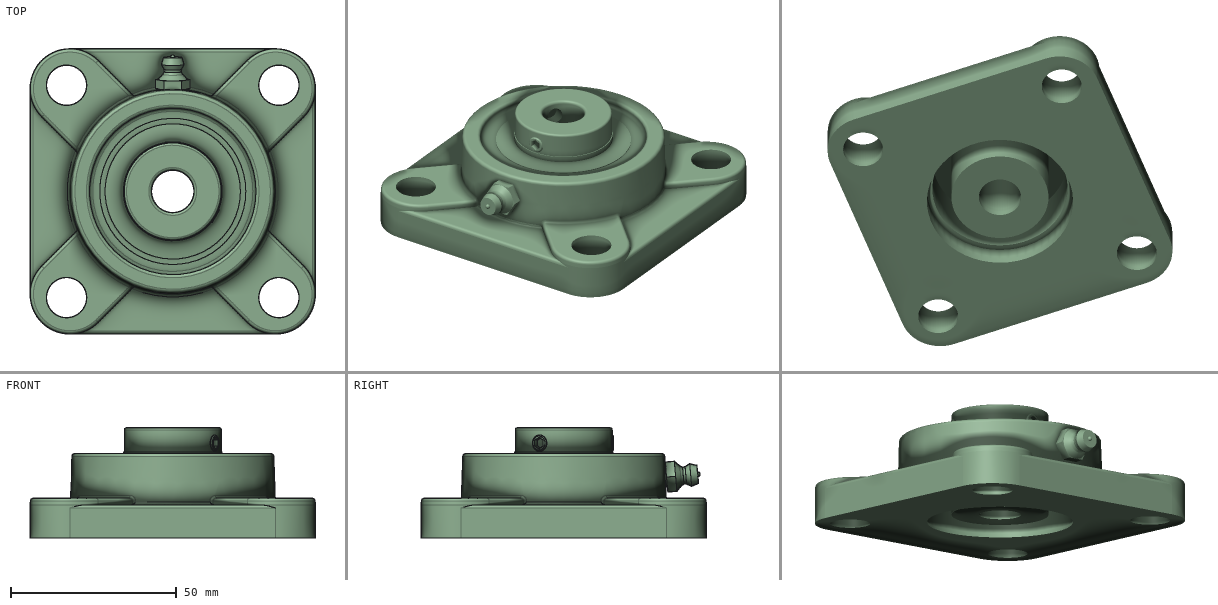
import cadquery as cq
import math

flange_side = 86.0
corner_radius = 12.0
plate_top = 10.1
plate_edge_fillet = 0.95
corner_offset = flange_side / 2 - corner_radius

pad_top = 12.0
pad_edge_fillet = 0.95
pad_draft = 4.0
pad_length = corner_offset * math.sqrt(2)
pad_angles = (45, 135, 225, 315)
bolt_hole_diameter = 12.0
bolt_hole_offset = 32.0

boss_top = 25.5
boss_base_radius = 31.0
boss_top_radius = 30.45
boss_edge_fillet = 1.0
boss_base_fillet = 0.9

mouth_diameter = 50.1
mouth_floor = 23.4
mouth_floor_fillet = 0.95
mouth_edge_fillet = 0.95

outer_ring_center = 15.2
outer_ring_half_width = mouth_floor - outer_ring_center
outer_ring_face_radius = 22.0
outer_ring_sphere_radius = math.hypot(outer_ring_face_radius, outer_ring_half_width)
outer_ring_bore_diameter = 40.8
outer_ring_bottom = outer_ring_center - outer_ring_half_width

inner_ring_top = 33.3
inner_ring_bottom = 2.2
inner_ring_diameter = 29.2
inner_ring_bore_diameter = 12.7
collar_edge_fillet = 0.7
bore_edge_fillet = 0.9

shield_sleeve_diameter = 29.75
shield_sleeve_top = 25.9
shield_hub_height = 24.2
shield_rim_height = 23.65
shield_rim_thickness = 0.8

screw_angles = (90, -30)
screw_height = 28.6
screw_diameter = 4.9
screw_outer_radius = 15.0
screw_length = 5.2
screw_edge_chamfer = 0.35
socket_across_corners = 3.4
socket_depth = 1.7

nipple_tilt = 5.0
nipple_seat_y = 31.0
nipple_seat_z = 18.4
nipple_shank_diameter = 6.0
nipple_shank_depth = 4.3
hex_across_flats = 9.1
hex_length = 2.75
neck_start = 4.3
neck_start_radius = 3.0
neck_end = 5.1
neck_end_radius = 2.6
head_start = 5.85
head_start_radius = 2.7
head_widest = 7.3
head_radius = 3.4
nipple_tip = 9.5
nipple_tip_radius = 2.75
check_ball_diameter = 1.5


def cylinder(diameter, bottom, top):
    """Vertical cylinder on the bearing axis."""
    return cq.Workplane("XY").workplane(offset=bottom).circle(diameter / 2).extrude(top - bottom)


def make_plate():
    plate = cq.Workplane("XY").rect(flange_side, flange_side).extrude(plate_top)
    plate = plate.edges("|Z").fillet(corner_radius)
    return plate.faces(">Z").edges().fillet(plate_edge_fillet)


def pad_outline(bottom):
    """Tongue from the flange centre along +X, with its round end concentric with the flange corner."""
    return (
        cq.Workplane("XY")
        .workplane(offset=bottom)
        .moveTo(0, -corner_radius)
        .lineTo(pad_length, -corner_radius)
        .threePointArc((pad_length + corner_radius, 0), (pad_length, corner_radius))
        .lineTo(0, corner_radius)
        .close()
    )


def make_pad(angle):
    base = pad_outline(0).extrude(plate_top)
    crown = pad_outline(plate_top).extrude(pad_top - plate_top, taper=pad_draft)
    crown = crown.faces(">Z").edges().fillet(pad_edge_fillet)
    return base.union(crown).rotate((0, 0, 0), (0, 0, 1), angle)


def make_boss():
    boss = (
        cq.Workplane("XZ")
        .moveTo(0, 0)
        .lineTo(boss_base_radius, 0)
        .lineTo(boss_base_radius, plate_top)
        .lineTo(boss_top_radius, boss_top)
        .lineTo(0, boss_top)
        .close()
        .revolve(360, (0, 0, 0), (0, 1, 0))
    )
    return boss.faces(">Z").edges().fillet(boss_edge_fillet)


def ring_envelope():
    """Sphere cut flat at both faces of the outer ring."""
    ball = cq.Workplane("XY").sphere(outer_ring_sphere_radius).translate((0, 0, outer_ring_center))
    return ball.intersect(cylinder(2 * outer_ring_sphere_radius, outer_ring_bottom, mouth_floor))


def place_nipple(body):
    """Lays a body built along +Z onto the tilted nipple axis at the boss wall."""
    return body.rotate((0, 0, 0), (1, 0, 0), nipple_tilt - 90).translate((0, nipple_seat_y, nipple_seat_z))


def make_nipple_hole():
    return place_nipple(cylinder(nipple_shank_diameter, -nipple_shank_depth, 0))


def make_housing():
    body = make_plate()
    for angle in pad_angles:
        body = body.union(make_pad(angle))
    body = body.union(make_boss())
    near_base = cq.selectors.BoxSelector((-31.8, -31.8, plate_top - 0.4), (31.8, 31.8, pad_top + 0.4), True)
    foot = [
        edge
        for edge in body.edges(near_base).vals()
        if all(abs(math.hypot(v.X, v.Y) - boss_base_radius) < 0.3 for v in edge.Vertices())
    ]
    body = body.newObject(foot).fillet(boss_base_fillet)

    mouth = cylinder(mouth_diameter, mouth_floor, boss_top).faces("<Z").edges().fillet(mouth_floor_fillet)
    body = body.cut(mouth)
    body = body.faces(">Z").edges(cq.selectors.RadiusNthSelector(0)).fillet(mouth_edge_fillet)
    body = body.cut(ring_envelope()).cut(cylinder(2 * outer_ring_face_radius, 0, outer_ring_bottom))

    bolt_holes = (
        cq.Workplane("XY")
        .rect(2 * bolt_hole_offset, 2 * bolt_hole_offset, forConstruction=True)
        .vertices()
        .circle(bolt_hole_diameter / 2)
        .extrude(pad_top)
    )
    return body.cut(bolt_holes).cut(make_nipple_hole())


def make_outer_ring():
    return ring_envelope().cut(cylinder(outer_ring_bore_diameter, outer_ring_bottom, mouth_floor))


def along_screw(body, angle):
    """Turns a body built along +X to a screw's angle and lifts it to the screw height."""
    return body.rotate((0, 0, 0), (0, 0, 1), angle).translate((0, 0, screw_height))


def make_screw_hole(angle):
    hole = cq.Workplane("YZ").circle(screw_diameter / 2).extrude(inner_ring_diameter)
    return along_screw(hole, angle)


def make_inner_ring():
    ring = cylinder(inner_ring_diameter, inner_ring_bottom, inner_ring_top)
    ring = ring.faces(">Z").edges().fillet(collar_edge_fillet)
    ring = ring.cut(cylinder(inner_ring_bore_diameter, inner_ring_bottom, inner_ring_top))
    ring = ring.faces(">Z").edges(cq.selectors.RadiusNthSelector(0)).fillet(bore_edge_fillet)
    for angle in screw_angles:
        ring = ring.cut(make_screw_hole(angle))
    return ring


def make_shield():
    rim_radius = outer_ring_bore_diameter / 2
    inner_radius = inner_ring_diameter / 2
    underside = shield_rim_height - shield_rim_thickness
    return (
        cq.Workplane("XZ")
        .moveTo(inner_radius, underside)
        .lineTo(rim_radius, underside)
        .lineTo(rim_radius, shield_rim_height)
        .lineTo(shield_sleeve_diameter / 2, shield_hub_height)
        .lineTo(shield_sleeve_diameter / 2, shield_sleeve_top)
        .lineTo(inner_radius, shield_sleeve_top)
        .close()
        .revolve(360, (0, 0, 0), (0, 1, 0))
    )


def make_set_screw(angle):
    screw = (
        cq.Workplane("YZ")
        .workplane(offset=screw_outer_radius - screw_length)
        .circle(screw_diameter / 2)
        .extrude(screw_length)
    )
    screw = screw.faces(">X").edges().chamfer(screw_edge_chamfer)
    socket = (
        cq.Workplane("YZ")
        .workplane(offset=screw_outer_radius - socket_depth)
        .transformed(rotate=(0, 0, 90))
        .polygon(6, socket_across_corners)
        .extrude(socket_depth)
    )
    return along_screw(screw.cut(socket), angle)


def make_check_ball():
    ball = cq.Workplane("XY").sphere(check_ball_diameter / 2).translate((0, 0, nipple_tip))
    return place_nipple(ball)


def make_nipple():
    shank = cylinder(nipple_shank_diameter, -nipple_shank_depth, 0)
    hexagon = cq.Workplane("XY").polygon(6, hex_across_flats / math.cos(math.pi / 6)).extrude(hex_length)
    head = (
        cq.Workplane("XZ")
        .moveTo(0, hex_length)
        .lineTo(hex_across_flats / 2, hex_length)
        .lineTo(neck_start_radius, neck_start)
        .lineTo(neck_end_radius, neck_end)
        .lineTo(head_start_radius, head_start)
        .lineTo(head_radius, head_widest)
        .lineTo(nipple_tip_radius, nipple_tip)
        .lineTo(0, nipple_tip)
        .close()
        .revolve(360, (0, 0, 0), (0, 1, 0))
    )
    return place_nipple(shank.union(hexagon).union(head)).cut(make_check_ball())


housing = make_housing()
outer_ring = make_outer_ring()
inner_ring = make_inner_ring()
shield = make_shield()
set_screws = [make_set_screw(angle) for angle in screw_angles]
nipple = make_nipple()
check_ball = make_check_ball()

result = cq.Compound.makeCompound([
    housing.val(),
    outer_ring.val(),
    inner_ring.val(),
    shield.val(),
    *[screw.val() for screw in set_screws],
    nipple.val(),
    check_ball.val(),
])